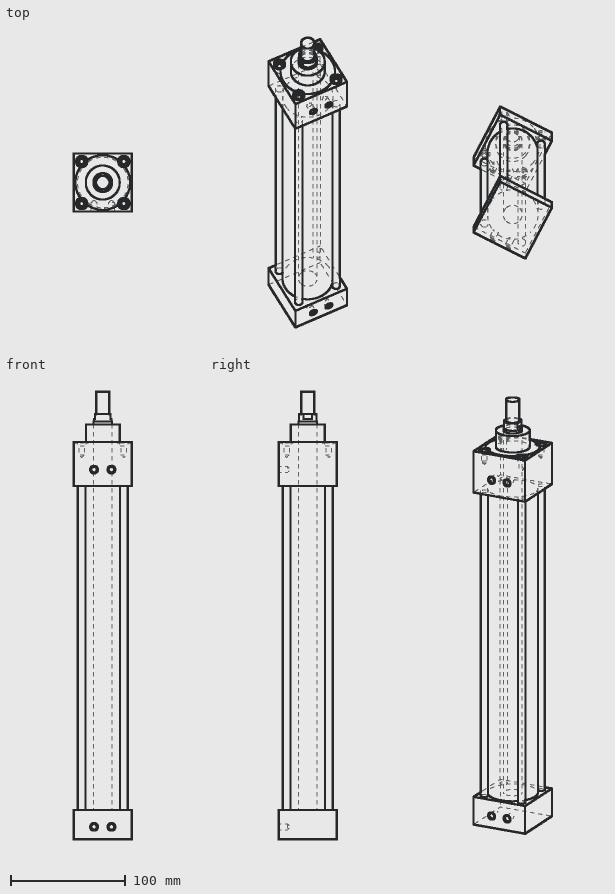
import cadquery as cq

total_length = 390.5
block_side = 50.8

cap_height = 25.8
head_bottom = 308.0
head_top = 346.8
boss_top = 362.0
collar_top = 364.5
flat_bottom = 366.7
shoulder_top = 371.0

tube_diameter = 44.0
boss_diameter = 29.5
pilot_diameter = 47.5
pilot_height = 0.5

collar_diameter = 16.5
rod_diameter = 15.5
tip_diameter = 11.7
flat_width = 13.5

tie_rod_offset = 18.5
tie_rod_diameter = 6.5
counterbore_diameter = 9.8
counterbore_depth = 1.0
bore_diameter = 7.5
bore_depth = 2.5
inner_hole_diameter = 4.5
inner_hole_depth = 8.0

port_spacing = 15.2
port_mouth_diameter = 6.5
port_diameter = 5.0
port_depth = 8.0
head_port_height = 322.5
cap_port_height = 11.0


def cylinder(diameter, bottom, top):
    return cq.Workplane("XY").workplane(offset=bottom).circle(diameter / 2).extrude(top - bottom)


def block(bottom, top):
    return cq.Workplane("XY").workplane(offset=bottom).rect(block_side, block_side).extrude(top - bottom)


def at_tie_rods(shape):
    """Copies of a shape on the axes of the four tie rods."""
    spacing = 2 * tie_rod_offset
    corners = cq.Workplane("XY").rect(spacing, spacing, forConstruction=True).vertices()
    return corners.eachpoint(lambda place: shape.val().moved(place))


def stepped_bore():
    """Counterbore, bore and hole with a 90-degree conical end, down from the top of the head."""
    ledge = head_top - counterbore_depth
    floor = ledge - bore_depth
    end = floor - inner_hole_depth
    profile = [
        (0, head_top),
        (counterbore_diameter / 2, head_top),
        (counterbore_diameter / 2, ledge),
        (bore_diameter / 2, ledge),
        (bore_diameter / 2, floor),
        (inner_hole_diameter / 2, floor),
        (inner_hole_diameter / 2, end),
        (0, end - inner_hole_diameter / 2),
    ]
    return cq.Workplane("XZ").polyline(profile).close().revolve(360, (0, 0), (0, 1))


def port(x, z):
    """Chamfered hole going in from the -Y face, with a 90-degree conical end."""
    chamfer = (port_mouth_diameter - port_diameter) / 2
    face = -block_side / 2
    profile = [
        (0, face),
        (port_mouth_diameter / 2, face),
        (port_diameter / 2, face + chamfer),
        (port_diameter / 2, face + port_depth),
        (0, face + port_depth + port_diameter / 2),
    ]
    hole = cq.Workplane("XY").polyline(profile).close().revolve(360, (0, 0), (0, 1))
    return hole.translate((x, 0, z))


def make_housing():
    """Head, barrel, tie rods and end cap as one solid, with a blind hole for the rod."""
    housing = block(0, cap_height).union(block(head_bottom, head_top - pilot_height))
    housing = housing.union(cylinder(tube_diameter, cap_height, head_bottom))
    housing = housing.union(cylinder(pilot_diameter, head_top - pilot_height, head_top))
    housing = housing.union(cylinder(boss_diameter, head_top, boss_top))
    housing = housing.union(at_tie_rods(cylinder(tie_rod_diameter, cap_height, head_bottom)))
    housing = housing.cut(at_tie_rods(stepped_bore()))
    for z in (head_port_height, cap_port_height):
        for x in (-port_spacing / 2, port_spacing / 2):
            housing = housing.cut(port(x, z))
    return housing.cut(cylinder(collar_diameter, cap_height, boss_top))


def make_rod():
    """Piston rod with a collar, two wrench flats facing +X and -X, and a thinner plain end."""
    flats = cylinder(rod_diameter, flat_bottom, shoulder_top)
    flats = flats.intersect(cq.Workplane("XY").box(flat_width, rod_diameter, 2 * total_length))
    rod = cylinder(rod_diameter, collar_top, flat_bottom).union(flats)
    rod = rod.union(cylinder(collar_diameter, cap_height, collar_top))
    return rod.union(cylinder(tip_diameter, shoulder_top, total_length))


housing = make_housing()
piston_rod = make_rod()
result = cq.Compound.makeCompound([housing.val(), piston_rod.val()])